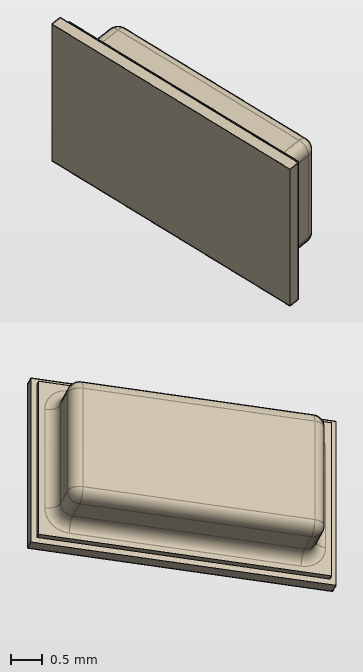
import cadquery as cq

plate_length = 5
plate_height = 3
plate_thickness = 0.2
step_margin = 0.1
step_thickness = 0.1
cover_margin = 0.3
cover_depth = 0.8
cover_radius = 0.2

step_length = plate_length - 2 * step_margin
step_height = plate_height - 2 * step_margin
cover_length = step_length - 2 * cover_margin
cover_height = step_height - 2 * cover_margin
step_back = plate_thickness + step_thickness
cover_back = step_back + cover_depth


def block(length, height, front, back):
    """Block centred on X and Z, spanning front to back along Y."""
    centred = (True, False, True)
    return cq.Workplane("XY").box(length, back - front, height, centered=centred).translate((0, front, 0))


plate = block(plate_length, plate_height, 0, plate_thickness)
step = block(step_length, step_height, plate_thickness, step_back)

cover = block(cover_length, cover_height, step_back, cover_back)
cover = cover.edges("|Y").fillet(cover_radius)
cover = cover.faces(">Y").edges().fillet(cover_radius)

body = step.union(cover)
reach = 0.05
foot_region = cq.selectors.BoxSelector(
    (-cover_length / 2 - reach, step_back - reach, -cover_height / 2 - reach),
    (cover_length / 2 + reach, step_back + reach, cover_height / 2 + reach),
)
body = body.edges(foot_region).fillet(cover_radius)

result = plate.union(body)